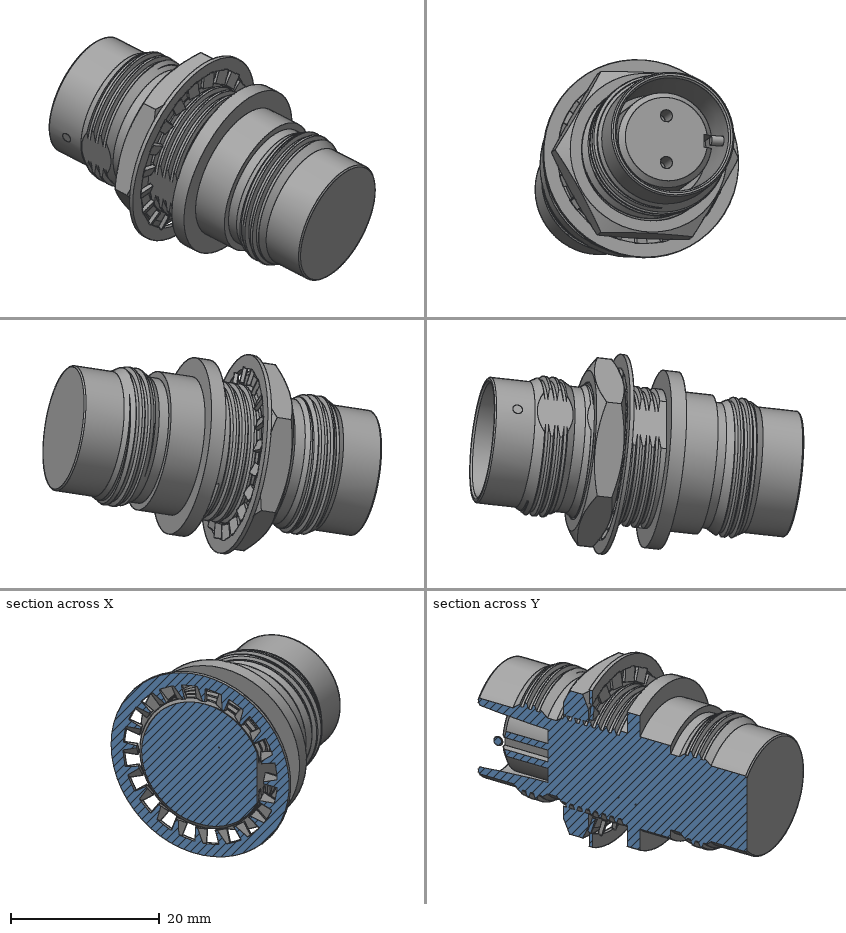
import cadquery as cq
import math

LENGTH = 42.4
SHELL_RADIUS = 8.5
SHELL_EDGE_CHAMFER = 0.2

CREST_RADIUS = 9.42
ROOT_RADIUS = 8.88
PITCH = 1.27
CREST_WIDTH = 0.35
ROOT_WIDTH = 0.4
LEAD_IN_ANGLE = 30.0
CUTTER_OVERRUN = 0.135
FRONT_THREAD = (5.5, 10.95)
PANEL_THREAD_START = 12.4
REAR_THREAD = (31.75, 36.75)
FRONT_GROOVE = (6.1, 3.75)
PANEL_GROOVE = (12.34, 8.1)
REAR_GROOVE = (32.1, 3.5)

FLAT_OFFSET = 8.65

FLANGE_START = 23.5
FLANGE_END = 25.55
FLANGE_RADIUS = 12.0
SHOULDER_END = 30.4

NUT_START = 13.45
NUT_THICKNESS = 4.0
NUT_ACROSS_FLATS = 22.0
NUT_BORE_RADIUS = 9.3
NUT_FACE_RADIUS = 10.85
NUT_CHAMFER_LENGTH = 1.0

WASHER_START = 17.5
WASHER_THICKNESS = 0.55
WASHER_RADIUS = 13.5
WASHER_RING_INNER_RADIUS = 11.62
TOOTH_COUNT = 20
TOOTH_ARC = 8.0
TOOTH_TIP_RADIUS = 9.6
TOOTH_ROOT_OVERLAP = 0.1
TOOTH_TWIST = -20.0
TOOTH_LEAN = 8.0

SOCKET_MOUTH_RADIUS = 8.0
SOCKET_MOUTH_CHAMFER = 0.25
SOCKET_FLOOR_RADIUS = 7.36
SOCKET_DEPTH = 11.0
INSERT_FACE_DEPTH = 3.6
INSERT_FACE_RADIUS = 5.7
INSERT_RADIUS = 6.48
CONTACT_HOLE_RADIUS = 0.82
CONTACT_HOLE_OFFSET = 3.2
CONTACT_HOLE_DEPTH = 4.0
DRILL_POINT_ANGLE = 118.0
KEYWAY_WIDTH = 1.72
KEYWAY_FLOOR = 5.2

PIN_POSITION = 3.1
PIN_RADIUS = 0.67
PIN_TIP = 6.0


def revolved(profile):
    """Solid of revolution about X from (x, radius) points."""
    return cq.Workplane("XY").polyline(profile).close().revolve(360, (0, 0, 0), (1, 0, 0))


def tube(start, end, outer_radius, inner_radius):
    ring = cq.Workplane("YZ").workplane(offset=start).circle(outer_radius).circle(inner_radius)
    return ring.extrude(end - start)


def thread_groove(start, turns):
    """Right-handed helical groove about X, starting on the -Z side."""
    depth = CREST_RADIUS - ROOT_RADIUS
    root_half = ROOT_WIDTH / 2
    crest_half = (PITCH - CREST_WIDTH) / 2
    flank_slope = (crest_half - root_half) / depth
    outer_half = crest_half + flank_slope * CUTTER_OVERRUN
    outer_radius = CREST_RADIUS + CUTTER_OVERRUN
    profile = cq.Workplane("XZ").polyline([
        (ROOT_RADIUS, -root_half),
        (outer_radius, -outer_half),
        (outer_radius, outer_half),
        (ROOT_RADIUS, root_half),
    ]).close()
    helix = cq.Wire.makeHelix(PITCH, PITCH * turns, ROOT_RADIUS)
    groove = profile.sweep(cq.Workplane(obj=helix), isFrenet=True)
    return groove.rotate((0, 0, 0), (0, 1, 0), 90).translate((start, 0, 0))


def make_shell():
    lead_in = (CREST_RADIUS - SHELL_RADIUS) / math.tan(math.radians(LEAD_IN_ANGLE))
    edge_radius = SHELL_RADIUS - SHELL_EDGE_CHAMFER
    shell = revolved([
        (0, 0),
        (0, edge_radius),
        (SHELL_EDGE_CHAMFER, SHELL_RADIUS),
        (FRONT_THREAD[0], SHELL_RADIUS),
        (FRONT_THREAD[0] + lead_in, CREST_RADIUS),
        (FRONT_THREAD[1] - lead_in, CREST_RADIUS),
        (FRONT_THREAD[1], SHELL_RADIUS),
        (PANEL_THREAD_START, SHELL_RADIUS),
        (PANEL_THREAD_START + lead_in, CREST_RADIUS),
        (FLANGE_START, CREST_RADIUS),
        (FLANGE_START, FLANGE_RADIUS),
        (FLANGE_END, FLANGE_RADIUS),
        (FLANGE_END, CREST_RADIUS),
        (SHOULDER_END, CREST_RADIUS),
        (SHOULDER_END, SHELL_RADIUS),
        (REAR_THREAD[0], SHELL_RADIUS),
        (REAR_THREAD[0] + lead_in, CREST_RADIUS),
        (REAR_THREAD[1] - lead_in, CREST_RADIUS),
        (REAR_THREAD[1], SHELL_RADIUS),
        (LENGTH - SHELL_EDGE_CHAMFER, SHELL_RADIUS),
        (LENGTH, edge_radius),
        (LENGTH, 0),
    ])
    for start, turns in (FRONT_GROOVE, PANEL_GROOVE, REAR_GROOVE):
        shell = shell.cut(thread_groove(start, turns))
    flat_cutter = cq.Workplane("XY").box(
        FLANGE_START, CREST_RADIUS, 2 * CREST_RADIUS, centered=(False, False, True)
    ).translate((0, -FLAT_OFFSET - CREST_RADIUS, 0))
    return shell.cut(flat_cutter)


def cut_socket(shell):
    """Tapered annular socket that leaves the insert standing in the middle."""
    insert_chamfer = INSERT_RADIUS - INSERT_FACE_RADIUS
    cavity = revolved([
        (0, 0),
        (0, SOCKET_MOUTH_RADIUS),
        (SOCKET_MOUTH_CHAMFER, SOCKET_MOUTH_RADIUS - SOCKET_MOUTH_CHAMFER),
        (SOCKET_DEPTH, SOCKET_FLOOR_RADIUS),
        (SOCKET_DEPTH, INSERT_RADIUS),
        (INSERT_FACE_DEPTH + insert_chamfer, INSERT_RADIUS),
        (INSERT_FACE_DEPTH, INSERT_FACE_RADIUS),
        (INSERT_FACE_DEPTH, 0),
    ])
    return shell.cut(cavity)


def cut_contact_holes(shell):
    point_length = CONTACT_HOLE_RADIUS / math.tan(math.radians(DRILL_POINT_ANGLE / 2))
    hole_end = INSERT_FACE_DEPTH + CONTACT_HOLE_DEPTH
    drill = revolved([
        (INSERT_FACE_DEPTH, 0),
        (INSERT_FACE_DEPTH, CONTACT_HOLE_RADIUS),
        (hole_end, CONTACT_HOLE_RADIUS),
        (hole_end + point_length, 0),
    ])
    for side in (-1, 1):
        shell = shell.cut(drill.translate((0, 0, side * CONTACT_HOLE_OFFSET)))
    return shell


def cut_keyway(shell):
    keyway = cq.Workplane("XY").box(
        SOCKET_DEPTH - INSERT_FACE_DEPTH,
        INSERT_RADIUS - KEYWAY_FLOOR,
        KEYWAY_WIDTH,
        centered=(False, False, True),
    ).translate((INSERT_FACE_DEPTH, -INSERT_RADIUS, 0))
    return shell.cut(keyway)


def make_pin():
    """Radial pin whose flat outer end sits level with the shell surface."""
    pin = cq.Workplane("XZ", origin=(PIN_POSITION, -PIN_TIP, 0)).circle(PIN_RADIUS)
    return pin.extrude(SHELL_RADIUS - PIN_TIP)


def make_nut():
    """Hexagon nut with corners along Y, chamfered on both faces."""
    end = NUT_START + NUT_THICKNESS
    corner_radius = NUT_ACROSS_FLATS / math.sqrt(3)
    hexagon = cq.Workplane("YZ").workplane(offset=NUT_START).polygon(6, 2 * corner_radius)
    chamfer_body = revolved([
        (NUT_START, 0),
        (NUT_START, NUT_FACE_RADIUS),
        (NUT_START + NUT_CHAMFER_LENGTH, corner_radius),
        (end - NUT_CHAMFER_LENGTH, corner_radius),
        (end, NUT_FACE_RADIUS),
        (end, 0),
    ])
    bore = cq.Workplane("YZ").workplane(offset=NUT_START).circle(NUT_BORE_RADIUS)
    return hexagon.extrude(NUT_THICKNESS).intersect(chamfer_body).cut(bore.extrude(NUT_THICKNESS))


def make_washer():
    """Thin ring with twisted teeth that point inward and lean towards the flange."""
    end = WASHER_START + WASHER_THICKNESS
    washer = tube(WASHER_START, end, WASHER_RADIUS, WASHER_RING_INNER_RADIUS)
    tooth_width = WASHER_RING_INNER_RADIUS * math.radians(TOOTH_ARC)
    tooth_length = WASHER_RING_INNER_RADIUS + TOOTH_ROOT_OVERLAP - TOOTH_TIP_RADIUS
    root = (WASHER_START + WASHER_THICKNESS / 2, 0, WASHER_RING_INNER_RADIUS)
    tooth = cq.Workplane("XY").box(WASHER_THICKNESS, tooth_width, tooth_length)
    tooth = tooth.translate((0, 0, TOOTH_ROOT_OVERLAP - tooth_length / 2))
    tooth = tooth.rotate((0, 0, 0), (0, 0, 1), TOOTH_TWIST)
    tooth = tooth.rotate((0, 0, 0), (0, 1, 0), -TOOTH_LEAN).translate(root)
    for index in range(TOOTH_COUNT):
        angle = index * 360 / TOOTH_COUNT
        washer = washer.union(tooth.rotate((0, 0, 0), (1, 0, 0), angle))
    return washer


connector = make_shell()
connector = cut_socket(connector)
connector = cut_contact_holes(connector)
connector = cut_keyway(connector)
result = connector.union(make_pin()).union(make_nut()).union(make_washer())